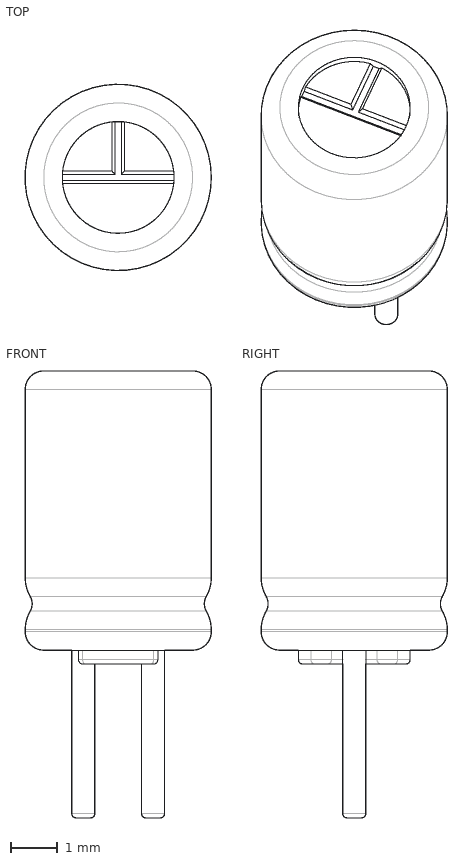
import cadquery as cq
import math

CAN_DIAMETER = 4.0
CAN_HEIGHT = 6.0
CAN_EDGE_RADIUS = 0.4

CRIMP_HEIGHT = 1.0
CRIMP_WAIST_RADIUS = 0.32
CRIMP_SHOULDER_RADIUS = 0.8
CRIMP_ANGLE = math.radians(30)

RECESS_DIAMETER = 2.4
RECESS_DEPTH = 0.2
SCORE_TOP_WIDTH = 0.27
SCORE_FLOOR_WIDTH = 0.13
SCORE_DEPTH = 0.1

LEAD_PITCH = 1.5
LEAD_DIAMETER = 0.5
LEAD_LENGTH = 9.6 - CAN_HEIGHT
LEAD_TIP_RADIUS = 0.1

STANDOFF_DIAMETER = 2.4
STANDOFF_HEIGHT = 0.3
STANDOFF_RELIEF_RADIUS = LEAD_DIAMETER
STANDOFF_CORNER_RADIUS = 0.25
STANDOFF_EDGE_RADIUS = 0.1

can_radius = CAN_DIAMETER / 2
lead_centers = [(-LEAD_PITCH / 2, 0), (LEAD_PITCH / 2, 0)]


def point_on_arc(center, radius, angle):
    """Point at an angle (radians, from the radial direction) on an arc in the profile plane."""
    return (center[0] + radius * math.cos(angle), center[1] + radius * math.sin(angle))


def make_can():
    shoulder_center_r = can_radius - CRIMP_SHOULDER_RADIUS
    blend_radius = CRIMP_SHOULDER_RADIUS + CRIMP_WAIST_RADIUS
    shoulder_offset = blend_radius * math.sin(CRIMP_ANGLE)
    waist_center = (shoulder_center_r + blend_radius * math.cos(CRIMP_ANGLE), CRIMP_HEIGHT)
    lower_center = (shoulder_center_r, CRIMP_HEIGHT - shoulder_offset)
    upper_center = (shoulder_center_r, CRIMP_HEIGHT + shoulder_offset)

    bottom_edge_center = (can_radius - CAN_EDGE_RADIUS, CAN_EDGE_RADIUS)
    top_edge_center = (can_radius - CAN_EDGE_RADIUS, CAN_HEIGHT - CAN_EDGE_RADIUS)
    mid_edge = math.radians(45)
    half_crimp = CRIMP_ANGLE / 2

    profile = (
        cq.Workplane("XZ")
        .lineTo(bottom_edge_center[0], 0)
        .threePointArc(
            point_on_arc(bottom_edge_center, CAN_EDGE_RADIUS, -mid_edge),
            (can_radius, CAN_EDGE_RADIUS),
        )
        .lineTo(can_radius, lower_center[1])
        .threePointArc(
            point_on_arc(lower_center, CRIMP_SHOULDER_RADIUS, half_crimp),
            point_on_arc(lower_center, CRIMP_SHOULDER_RADIUS, CRIMP_ANGLE),
        )
        .threePointArc(
            point_on_arc(waist_center, CRIMP_WAIST_RADIUS, math.pi),
            point_on_arc(upper_center, CRIMP_SHOULDER_RADIUS, -CRIMP_ANGLE),
        )
        .threePointArc(
            point_on_arc(upper_center, CRIMP_SHOULDER_RADIUS, -half_crimp),
            (can_radius, upper_center[1]),
        )
        .lineTo(can_radius, top_edge_center[1])
        .threePointArc(
            point_on_arc(top_edge_center, CAN_EDGE_RADIUS, mid_edge),
            (top_edge_center[0], CAN_HEIGHT),
        )
        .lineTo(0, CAN_HEIGHT)
        .close()
    )
    return profile.revolve(360, (0, 0, 0), (0, 1, 0))


def make_score(plane, length):
    """Trapezoidal score running from the can axis along the plane normal."""
    floor = CAN_HEIGHT - RECESS_DEPTH
    return (
        cq.Workplane(plane)
        .moveTo(-SCORE_TOP_WIDTH / 2, floor)
        .lineTo(-SCORE_FLOOR_WIDTH / 2, floor - SCORE_DEPTH)
        .lineTo(SCORE_FLOOR_WIDTH / 2, floor - SCORE_DEPTH)
        .lineTo(SCORE_TOP_WIDTH / 2, floor)
        .close()
        .extrude(length)
    )


def make_vent():
    """Recess plus three scores: one full diameter along X and one radius toward +Y."""
    recess_radius = RECESS_DIAMETER / 2
    floor = CAN_HEIGHT - RECESS_DEPTH
    recess = cq.Workplane("XY").workplane(offset=floor).circle(recess_radius).extrude(RECESS_DEPTH)
    limit = (
        cq.Workplane("XY")
        .workplane(offset=floor - SCORE_DEPTH)
        .circle(recess_radius)
        .extrude(SCORE_DEPTH)
    )
    across = make_score("YZ", recess_radius).union(make_score("YZ", -recess_radius))
    upright = make_score("XZ", -recess_radius)
    return recess.union(across.union(upright).intersect(limit))


def make_leads():
    return (
        cq.Workplane("XY")
        .pushPoints(lead_centers)
        .circle(LEAD_DIAMETER / 2)
        .extrude(-LEAD_LENGTH)
        .faces("<Z")
        .edges()
        .fillet(LEAD_TIP_RADIUS)
    )


def make_standoff():
    disc = cq.Workplane("XY").circle(STANDOFF_DIAMETER / 2).extrude(-STANDOFF_HEIGHT)
    reliefs = (
        cq.Workplane("XY")
        .pushPoints(lead_centers)
        .circle(STANDOFF_RELIEF_RADIUS)
        .extrude(-STANDOFF_HEIGHT)
    )
    relieved = disc.cut(reliefs)
    rounded = relieved.edges("|Z").fillet(STANDOFF_CORNER_RADIUS)
    return rounded.faces("<Z").edges().fillet(STANDOFF_EDGE_RADIUS)


result = make_can().cut(make_vent()).union(make_standoff()).union(make_leads())